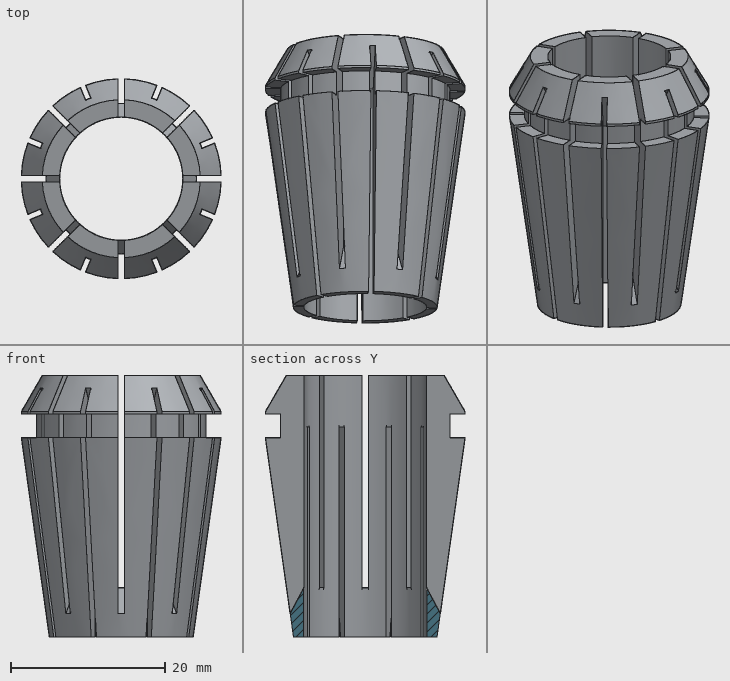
import cadquery as cq
import math

length = 34.0
outer_radius = 13.0
bore_radius = 8.0
body_height = 25.9
body_half_angle = 8.0
groove_width = 3.05
groove_radius = 11.0
lip_height = 0.3
head_half_angle = 30.0

slots_per_set = 8
top_slot_width = 0.8
base_slot_width = 0.7
top_slot_end_height = 3.05
base_slot_end_height = 32.35
top_slot_end_slope = 62.0
base_slot_end_slope = 57.5
top_slot_first_angle = 0.0
margin = 1.7

slot_pitch = 360.0 / slots_per_set
base_slot_first_angle = top_slot_first_angle + slot_pitch / 2
lip_bottom = body_height + groove_width
lip_top = lip_bottom + lip_height
base_radius = outer_radius - body_height * math.tan(math.radians(body_half_angle))
top_radius = outer_radius - (length - lip_top) * math.tan(math.radians(head_half_angle))


def body_radius_at(height):
    """Outside radius of the long lower cone."""
    return base_radius + height * math.tan(math.radians(body_half_angle))


def head_radius_at(height):
    """Outside radius of the short upper cone."""
    return outer_radius - (height - lip_top) * math.tan(math.radians(head_half_angle))


def make_sleeve():
    """Two opposed cones with a groove between them, bored right through."""
    profile = [
        (bore_radius, 0),
        (base_radius, 0),
        (outer_radius, body_height),
        (groove_radius, body_height),
        (groove_radius, lip_bottom),
        (outer_radius, lip_bottom),
        (outer_radius, lip_top),
        (top_radius, length),
        (bore_radius, length),
    ]
    return cq.Workplane("XZ").polyline(profile).close().revolve(360, (0, 0), (0, 1))


def make_slot(width, end_radius, end_height, end_slope, open_height):
    """Radial slot cutter whose closed end is conical, so the slot is longer outside than in the bore."""
    toward_open = math.copysign(1, open_height - end_height)
    inner_radius = bore_radius - margin
    cutter_radius = outer_radius + margin
    slope = toward_open * math.tan(math.radians(end_slope))
    inner_end_height = end_height + slope * (end_radius - inner_radius)
    open_end_height = open_height + toward_open * margin
    outline = [
        (inner_radius, inner_end_height),
        (end_radius, end_height),
        (cutter_radius, end_height),
        (cutter_radius, open_end_height),
        (inner_radius, open_end_height),
    ]
    ring = cq.Workplane("XZ").polyline(outline).close().revolve(360, (0, 0), (0, 1))
    blade = cq.Workplane("XY").box(cutter_radius, width, length + 2 * margin, centered=(False, True, False))
    return ring.intersect(blade.translate((0, 0, -margin)))


def cut_slots(part, slot, first_angle):
    """Cut one set of slots, evenly spaced around the axis."""
    for index in range(slots_per_set):
        angle = first_angle + index * slot_pitch
        part = part.cut(slot.rotate((0, 0, 0), (0, 0, 1), angle))
    return part


top_slot = make_slot(
    top_slot_width,
    body_radius_at(top_slot_end_height),
    top_slot_end_height,
    top_slot_end_slope,
    length,
)
base_slot = make_slot(
    base_slot_width,
    head_radius_at(base_slot_end_height),
    base_slot_end_height,
    base_slot_end_slope,
    0,
)

result = make_sleeve()
result = cut_slots(result, top_slot, top_slot_first_angle)
result = cut_slots(result, base_slot, base_slot_first_angle)